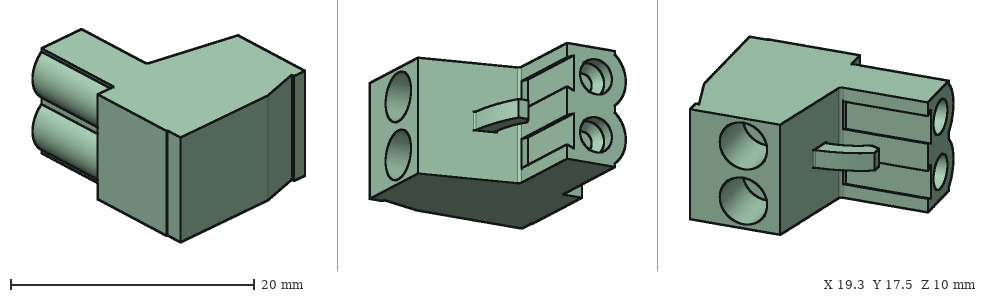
import cadquery as cq
import math

PLUG_ANGLE = 11.8
LENGTH = 19.3
HEIGHT = 10.0
POLE_COUNT = 2
POLE_PITCH = HEIGHT / POLE_COUNT
POLE_HEIGHTS = [(i - (POLE_COUNT - 1) / 2) * POLE_PITCH for i in range(POLE_COUNT)]

SHOULDER_U = 8.63
PLUG_WIDTH = 4.55
FRONT_V = -6.37
STEP_LENGTH = 1.58
STEP_DEPTH = 0.1
TOP_V = 8.63
TAB_U = 17.6
TAB_HEIGHT = 1.24
TAB_DEPTH = 0.29
SLANT_END_V = 3.63
MATING_FACE_X = 7.62
ROOT_FILLET = 0.29

BARREL_AXIS_V = -2.75
BARREL_RADIUS = 2.84

SOCKET_RADIUS = 1.5
SOCKET_STRAIGHT = 1.3
SOCKET_SEAT = 0.93
CONTACT_RADIUS = 0.87
CONTACT_START_U = SOCKET_STRAIGHT + SOCKET_SEAT
CONTACT_END_U = SHOULDER_U

SLOT_OPENING = 2.5
SLOT_FLOOR = 3.03
SLOT_DEPTH = 0.64

WIRE_HOLE_U = 12.85
WIRE_HOLE_RADIUS = 2.1
WIRE_HOLE_DEPTH = 5.02

LATCH_THICKNESS = 1.6
LATCH_FILLET = 0.2
LATCH_TIP_OUTER = (3.17, 3.17)
LATCH_TIP_CORNER = (3.32, 2.24)
LATCH_TIP_INNER = (4.2, 2.08)
LATCH_OUTER_MIDDLE = (5.4, 4.61)
LATCH_INNER_MIDDLE = (5.85, 3.22)
LATCH_OUTER_ROOT_Y = 5.46
LATCH_INNER_ROOT_Y = 3.82

turn = math.radians(PLUG_ANGLE)


def mating_face_u(v):
    """U at which the mating face crosses the given V."""
    return (MATING_FACE_X + v * math.sin(turn)) / math.cos(turn)


BACK_V = FRONT_V + STEP_DEPTH
BACK_U = (LENGTH + BACK_V * math.sin(turn)) / math.cos(turn)

ROOT_U = mating_face_u(0)
FILLET_REACH = ROOT_FILLET / math.tan(math.radians(90 + PLUG_ANGLE) / 2)


def turned(body):
    return body.rotate((0, 0, 0), (0, 0, 1), PLUG_ANGLE)


def make_block():
    outline = [
        (0, 0),
        (0, -PLUG_WIDTH),
        (SHOULDER_U, -PLUG_WIDTH),
        (SHOULDER_U, FRONT_V),
        (BACK_U - STEP_LENGTH, FRONT_V),
        (BACK_U - STEP_LENGTH, BACK_V),
        (BACK_U, BACK_V),
        (BACK_U, SLANT_END_V),
        (TAB_U - TAB_DEPTH, TOP_V - TAB_HEIGHT),
        (TAB_U, TOP_V - TAB_HEIGHT),
        (TAB_U, TOP_V),
        (mating_face_u(TOP_V), TOP_V),
        (ROOT_U, 0),
    ]
    block = cq.Workplane("XY").polyline(outline).close().extrude(HEIGHT / 2, both=True)
    root_edge = cq.selectors.NearestToPointSelector((ROOT_U, 0, 0))
    return block.edges("|Z").edges(root_edge).fillet(ROOT_FILLET)


def make_barrel(z):
    """The part of the round barrel that bulges out of the flat front of the plug."""
    half_chord = math.sqrt(BARREL_RADIUS**2 - (PLUG_WIDTH + BARREL_AXIS_V) ** 2)
    bulge = (
        cq.Workplane("YZ")
        .moveTo(-PLUG_WIDTH, -half_chord)
        .threePointArc((BARREL_AXIS_V - BARREL_RADIUS, 0), (-PLUG_WIDTH, half_chord))
        .close()
        .extrude(SHOULDER_U)
    )
    return bulge.translate((0, 0, z))


def make_socket(z):
    """Straight bore with a conical seat that narrows to the contact radius."""
    half_section = [
        (0, 0),
        (0, SOCKET_RADIUS),
        (SOCKET_STRAIGHT, SOCKET_RADIUS),
        (CONTACT_START_U, CONTACT_RADIUS),
        (CONTACT_START_U, 0),
    ]
    socket = cq.Workplane("XY").polyline(half_section).close().revolve(360, (0, 0), (1, 0))
    return socket.translate((0, BARREL_AXIS_V, z))


def make_contact(z):
    pin = cq.Workplane("YZ").circle(CONTACT_RADIUS).extrude(CONTACT_END_U - CONTACT_START_U)
    return pin.translate((CONTACT_START_U, BARREL_AXIS_V, z))


def make_slot(z):
    """Dovetail that is wider at its floor and stops where the root fillet begins."""
    profile = [
        (0, -SLOT_OPENING / 2),
        (0, SLOT_OPENING / 2),
        (-SLOT_DEPTH, SLOT_FLOOR / 2),
        (-SLOT_DEPTH, -SLOT_FLOOR / 2),
    ]
    slot = cq.Workplane("YZ").polyline(profile).close().extrude(ROOT_U - FILLET_REACH)
    return slot.translate((0, 0, z))


def make_wire_hole(z):
    hole = cq.Workplane("XZ").circle(WIRE_HOLE_RADIUS).extrude(WIRE_HOLE_DEPTH)
    return hole.translate((WIRE_HOLE_U, TOP_V, z))


def make_latch():
    """Curved arm that hangs from the mating face, built in X and Y."""
    root_x = MATING_FACE_X
    return (
        cq.Workplane("XY")
        .moveTo(*LATCH_TIP_OUTER)
        .threePointArc(LATCH_OUTER_MIDDLE, (root_x, LATCH_OUTER_ROOT_Y))
        .lineTo(root_x, LATCH_INNER_ROOT_Y)
        .threePointArc(LATCH_INNER_MIDDLE, LATCH_TIP_INNER)
        .lineTo(*LATCH_TIP_CORNER)
        .close()
        .extrude(LATCH_THICKNESS / 2, both=True)
    )


def make_housing():
    housing = make_block()
    for z in POLE_HEIGHTS:
        housing = housing.union(make_barrel(z))
    for z in POLE_HEIGHTS:
        housing = housing.cut(make_socket(z))
        housing = housing.cut(make_contact(z))
        housing = housing.cut(make_slot(z))
        housing = housing.cut(make_wire_hole(z))
    housing = turned(housing).union(make_latch())
    for root_y in (LATCH_OUTER_ROOT_Y, LATCH_INNER_ROOT_Y):
        root_edge = cq.selectors.NearestToPointSelector((MATING_FACE_X, root_y, 0))
        housing = housing.edges("|Z").edges(root_edge).fillet(LATCH_FILLET)
    return housing


housing = make_housing()
contacts = [turned(make_contact(z)) for z in POLE_HEIGHTS]

result = cq.Compound.makeCompound([housing.solids().val(), *[contact.val() for contact in contacts]])